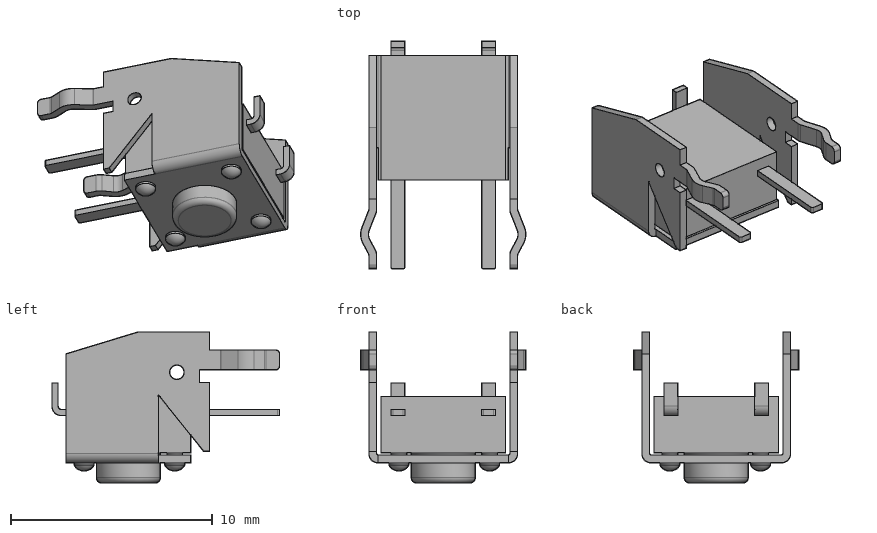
import cadquery as cq
import math


body_side = 6.19
body_height = 2.8
body_gap = 0.1

sheet = 0.4
wall_outer_x = 3.7
bend_inner_radius = 0.07
back_y = body_side / 2
front_y = -4.03
wall_top_z = 6.5
back_corner_z = 5.41
slope_end_y = -0.47
relief_back_y = -1.49
relief_top_z = 3.37
toe_z = 0.58
toe_back_y = -3.73
notch_depth = 0.5
notch_bottom_z = 3.99
hole_diameter = 0.7
hole_y = -2.41
hole_z = 4.5

tab_bottom_z = 4.61
tab_height = 1.0
tip_y = -7.5
tip_radius = 0.2
kink_start_y = -4.58
kink_bulge = 0.41
rise_angle = math.radians(21.5)
fall_angle = math.radians(28)
peak_inner_radius = 0.54
return_inner_radius = 0.2

pin_spacing = 4.5
pin_width = 0.7
pin_thickness = 0.32
pin_bottom_z = 2.34
pin_back_y = 3.8
pin_hook_top_z = 3.97
pin_bend_radius = 0.16
pin_tip_radius = 0.1

button_radius = 1.59
button_drop = 1.01
button_edge_radius = 0.28
rivet_spacing = 4.5
rivet_offset = 0.051
rivet_stem_radius = 0.4
rivet_head_radius = 0.5
rivet_rim = 0.11
rivet_drop = 0.41

wall_inner_x = wall_outer_x - sheet
bend_outer_radius = bend_inner_radius + sheet
floor_half_width = wall_outer_x - bend_outer_radius
body_bottom_z = sheet + body_gap


def block(x_range, y_range, z_range):
    """Box between the given limits on each axis."""
    size = [high - low for low, high in (x_range, y_range, z_range)]
    corner = (x_range[0], y_range[0], z_range[0])
    return cq.Workplane("XY").box(*size, centered=False).translate(corner)


def make_body():
    half = body_side / 2
    return block((-half, half), (-half, half), (body_bottom_z, body_bottom_z + body_height))


def make_floor():
    """Flat floor, with bends up to the walls behind the reliefs."""
    bent = block((-wall_outer_x, wall_outer_x), (relief_back_y, back_y), (0, bend_outer_radius + sheet))
    bent = bent.edges("|Y and <Z").fillet(bend_outer_radius)
    inside = block((-wall_inner_x, wall_inner_x), (relief_back_y, back_y), (sheet, wall_top_z))
    inside = inside.edges("|Y and <Z").fillet(bend_inner_radius)
    flat = block((-floor_half_width, floor_half_width), (-body_side / 2, back_y), (0, sheet))
    return bent.cut(inside).union(flat)


def make_wall():
    """Wall on the +X side, from the top of the floor bend upward."""
    profile = [
        (back_y, bend_outer_radius),
        (back_y, back_corner_z),
        (slope_end_y, wall_top_z),
        (front_y, wall_top_z),
        (front_y, tab_bottom_z),
        (front_y + notch_depth, tab_bottom_z),
        (front_y + notch_depth, notch_bottom_z),
        (front_y, notch_bottom_z),
        (front_y, toe_z),
        (toe_back_y, toe_z),
        (relief_back_y, relief_top_z),
        (relief_back_y, bend_outer_radius),
    ]
    wall = cq.Workplane("YZ", origin=(wall_inner_x, 0, 0)).polyline(profile).close().extrude(sheet)
    hole = (
        cq.Workplane("YZ", origin=(wall_inner_x, hole_y, hole_z))
        .circle(hole_diameter / 2)
        .extrude(sheet)
    )
    return wall.cut(hole)


def make_tab():
    """Snap tab on the +X side: a strip bent out to a rounded peak and back again."""
    peak_outer_radius = peak_inner_radius + sheet
    half_turn = (rise_angle + fall_angle) / 2
    lean = (fall_angle - rise_angle) / 2
    peak_height = kink_bulge + peak_outer_radius * (math.cos(lean) / math.cos(half_turn) - 1)
    peak_y = kink_start_y - peak_height / math.tan(rise_angle)
    return_y = peak_y - peak_height / math.tan(fall_angle)

    outer = [
        (wall_outer_x, kink_start_y),
        (wall_outer_x + peak_height, peak_y),
        (wall_outer_x, return_y),
    ]
    inner = [
        (wall_inner_x, kink_start_y - sheet * math.tan(rise_angle / 2)),
        (
            wall_outer_x + peak_height - sheet * math.cos(lean) / math.cos(half_turn),
            peak_y + sheet * math.sin(lean) / math.cos(half_turn),
        ),
        (wall_inner_x, return_y + sheet * math.tan(fall_angle / 2)),
    ]
    outline = (
        [(wall_outer_x, front_y)]
        + outer
        + [(wall_outer_x, tip_y), (wall_inner_x, tip_y)]
        + inner[::-1]
        + [(wall_inner_x, front_y)]
    )
    tab = cq.Workplane("XY", origin=(0, 0, tab_bottom_z)).polyline(outline).close().extrude(tab_height)

    outer_radii = [bend_inner_radius, peak_outer_radius, return_inner_radius]
    inner_radii = [bend_outer_radius, peak_inner_radius, return_inner_radius + sheet]
    middle_z = tab_bottom_z + tab_height / 2
    for (x, y), radius in zip(outer + inner, outer_radii + inner_radii):
        corner = cq.selectors.NearestToPointSelector((x, y, middle_z))
        tab = tab.edges("|Z").edges(corner).fillet(radius)
    return tab.edges("|X and <Y").fillet(tip_radius)


def make_pin(x):
    """Flat pin through the body, hooked upward at the back."""
    x_range = (x - pin_width / 2, x + pin_width / 2)
    hook_front_y = pin_back_y - pin_thickness
    pin_top_z = pin_bottom_z + pin_thickness
    pin = block(x_range, (tip_y, pin_back_y), (pin_bottom_z, pin_hook_top_z))
    above_pin = block(x_range, (tip_y, hook_front_y), (pin_top_z, pin_hook_top_z))
    above_pin = above_pin.edges("|X and >Y and <Z").fillet(pin_bend_radius)
    pin = pin.edges("|X and >Y and <Z").fillet(pin_bend_radius + pin_thickness)
    return pin.cut(above_pin).edges("|Z and <Y").fillet(pin_tip_radius)


def make_button():
    button = cq.Workplane("XY", origin=(0, 0, -button_drop)).circle(button_radius)
    return button.extrude(button_drop + body_bottom_z).faces("<Z").edges().fillet(button_edge_radius)


def make_rivet(x, y):
    """Stem up to the body, with a domed head under the floor."""
    dome_height = rivet_drop - rivet_rim
    sphere_radius = (rivet_head_radius**2 + dome_height**2) / (2 * dome_height)
    half_angle = math.asin(rivet_head_radius / sphere_radius) / 2
    dome_middle = (
        sphere_radius * math.sin(half_angle),
        sphere_radius * (1 - math.cos(half_angle)) - rivet_drop,
    )
    rivet = (
        cq.Workplane("XZ")
        .moveTo(0, -rivet_drop)
        .threePointArc(dome_middle, (rivet_head_radius, -rivet_rim))
        .lineTo(rivet_head_radius, 0)
        .lineTo(rivet_stem_radius, 0)
        .lineTo(rivet_stem_radius, body_bottom_z)
        .lineTo(0, body_bottom_z)
        .close()
        .revolve(360, (0, 0, 0), (0, 1, 0))
    )
    return rivet.translate((x, y, 0))


side = make_wall().union(make_tab())
result = make_floor().union(side).union(side.mirror("YZ")).union(make_body()).union(make_button())

for side_sign in (-1, 1):
    result = result.union(make_pin(side_sign * pin_spacing / 2))
    for depth_sign in (-1, 1):
        rivet_x = rivet_offset + side_sign * rivet_spacing / 2
        rivet_y = -rivet_offset + depth_sign * rivet_spacing / 2
        result = result.union(make_rivet(rivet_x, rivet_y))